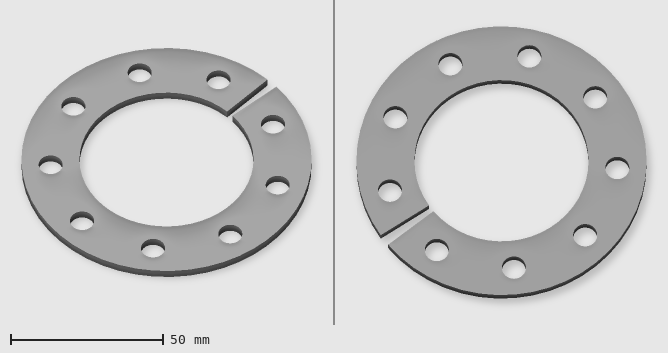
import cadquery as cq
import math

outer_diameter = 95.2
inner_diameter = 57.1
thickness = 3.0

hole_count = 9
hole_diameter = 7.9
hole_circle_radius = (outer_diameter + inner_diameter) / 4
first_hole_angle = 90.0
hole_pitch_angle = 360.0 / hole_count

split_angle = first_hole_angle + hole_pitch_angle / 2
split_width_angle = 5.0
split_reach = outer_diameter


def polar_point(radius, angle):
    """Point at a radius and an angle in degrees from +X."""
    radians = math.radians(angle)
    return (radius * math.cos(radians), radius * math.sin(radians))


def make_ring():
    """Plain ring around the Z axis, standing on the XY plane."""
    return (
        cq.Workplane("XY")
        .circle(outer_diameter / 2)
        .circle(inner_diameter / 2)
        .extrude(thickness)
    )


def make_holes():
    """Cylinders for the bolt holes."""
    return (
        cq.Workplane("XY")
        .polarArray(hole_circle_radius, first_hole_angle, 360, hole_count)
        .circle(hole_diameter / 2)
        .extrude(thickness)
    )


def make_split():
    """Wedge from the ring centre, so both split faces are radial."""
    start_angle = split_angle - split_width_angle / 2
    end_angle = split_angle + split_width_angle / 2
    corners = [
        (0, 0),
        polar_point(split_reach, start_angle),
        polar_point(split_reach, end_angle),
    ]
    return cq.Workplane("XY").polyline(corners).close().extrude(thickness)


result = make_ring().cut(make_holes()).cut(make_split())